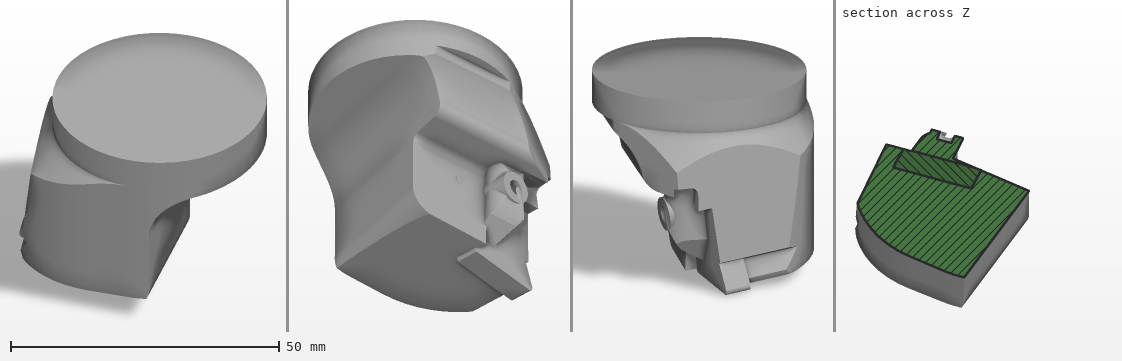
import cadquery as cq
import math

FLANGE_R = 40.0 / 2
FLANGE_H = 6.15
DEPTH = 42.2
REACH = 32.8
BACK_SHIFT = 7.25
TANGENT_ANGLE = 119.5

NECK_X = 4.25
RIM_Z = -8.3
COVE_X = 12.8
COVE_TOP_Z = -8.85
COVE_BOTTOM_Z = -17.7
HEEL_Z = -29.3
HEEL_X = 0.0
HEEL_BOTTOM_Z = -34.8

FACE_CORNER = (-24.4, 9.0, -12.65)
FACE_NORMAL = (-1.0, -0.163, 0.126)

WALL_Y = 5.1
POCKET_TOP_Z = -17.15
POCKET_FILLET = 1.4
SCOOP_Y = 11.8
LIP_MID = (13.25, -16.5)
LIP_END = (13.95, -14.75)
SCOOP_MID = (15.55, -10.87)
SCOOP_END = (18.05, -8.2)
MOUTH_TOP_Z = -15.33
MOUTH_INNER_X = -17.8
MOUTH_WIDTH = 4.45

TIP = (-27.35, 0.1, -36.0)
TOOL_X = (1.0, 0.174, 0.02)
TOOL_NORMAL = (0.17, -0.977, 0.108)

EDGE = 15.45
CORNER_ANGLE = 62.0
NOSE_R = 0.8
THICKNESS = 4.87

OVERHANG = 0.75
RELIEF_TOP = 5.3
ROOF_SLOPE = 0.55
SEAT_CHAMFER = 1.2
RAKE_POCKET_TOP = 16.55

CLAMP_X = (-19.7, -12.2)
CLAMP_Y = 1.87
CLAMP_HEEL = (7.05, -29.2)
CLAMP_CREST = (9.95, -22.5)
CLAMP_ROOT_Y = 8.9
CLAMP_TOE_Z = -32.57
CLAMP_BEVEL_Z = -26.95
CLAMP_SHOULDER_Y = 6.37
BOSS_D = 6.4
BOSS_TIP = (-15.95, 9.95, -22.75)
BOSS_H = 5.62
SOCKET_D = 3.05
SOCKET_DEPTH = 1.87

tool_plane = cq.Plane(origin=TIP, xDir=TOOL_X, normal=TOOL_NORMAL)
slant = math.radians(CORNER_ANGLE)


def blank():
    """Flange, and below it the wider head under a 45 degree cone."""
    angle = math.radians(TANGENT_ANGLE)
    tangent = (FLANGE_R * math.cos(angle), FLANGE_R * math.sin(angle))
    left_x = -BACK_SHIFT - FLANGE_R
    left_y = tangent[1] + (left_x - tangent[0]) * -math.cos(angle) / math.sin(angle)
    mid = FLANGE_R * math.sqrt(0.5)
    head = (
        cq.Workplane("XY", origin=(0, 0, -DEPTH))
        .moveTo(0, -FLANGE_R)
        .lineTo(-BACK_SHIFT, -FLANGE_R)
        .threePointArc((-BACK_SHIFT - mid, -mid), (left_x, 0))
        .lineTo(left_x, left_y)
        .lineTo(*tangent)
        .threePointArc((FLANGE_R, 0), (0, -FLANGE_R))
        .close()
        .extrude(DEPTH)
    )
    cone_end_z = -FLANGE_H - (REACH - FLANGE_R)
    envelope = (
        cq.Workplane("XZ")
        .polyline([(0, 0), (FLANGE_R, 0), (FLANGE_R, -FLANGE_H), (REACH, cone_end_z),
                   (REACH, -DEPTH), (0, -DEPTH)])
        .close()
        .revolve(360, (0, 0, 0), (0, 1, 0))
    )
    return head.intersect(envelope)


def side_profile():
    """Outline along Y that hollows the +X side and rounds the heel."""
    mid = math.sqrt(0.5)
    cove_mid = (COVE_X - (COVE_X - NECK_X) * mid,
                COVE_BOTTOM_Z + (COVE_TOP_Z - COVE_BOTTOM_Z) * mid)
    heel_mid = (HEEL_X + (NECK_X - HEEL_X) * mid,
                HEEL_Z + (HEEL_BOTTOM_Z - HEEL_Z) * mid)
    return (
        cq.Workplane("XZ", origin=(0, REACH, 0))
        .moveTo(-REACH, 0)
        .lineTo(FLANGE_R, 0)
        .lineTo(FLANGE_R, RIM_Z)
        .lineTo(COVE_X, COVE_TOP_Z)
        .threePointArc(cove_mid, (NECK_X, COVE_BOTTOM_Z))
        .lineTo(NECK_X, HEEL_Z)
        .threePointArc(heel_mid, (HEEL_X, HEEL_BOTTOM_Z))
        .lineTo(HEEL_X, -DEPTH)
        .lineTo(-REACH, -DEPTH)
        .close()
        .extrude(2 * REACH)
    )


def face_cut():
    """Everything outside the leaning -X face, below the flange."""
    plane = cq.Plane(origin=FACE_CORNER, xDir=(0, 0, 1), normal=FACE_NORMAL)
    return cq.Workplane(plane).rect(4 * REACH, 4 * REACH).extrude(REACH)


def chip_pocket():
    """Open space over the rake face, with a scooped run-out under the flange."""
    fillet_mid = POCKET_FILLET * (1 - math.sqrt(0.5))
    main = (
        cq.Workplane("YZ", origin=(-REACH, 0, 0))
        .moveTo(WALL_Y, -DEPTH)
        .lineTo(WALL_Y, POCKET_TOP_Z - POCKET_FILLET)
        .threePointArc((WALL_Y + fillet_mid, POCKET_TOP_Z - fillet_mid),
                       (WALL_Y + POCKET_FILLET, POCKET_TOP_Z))
        .lineTo(SCOOP_Y, POCKET_TOP_Z)
        .threePointArc(LIP_MID, LIP_END)
        .threePointArc(SCOOP_MID, SCOOP_END)
        .lineTo(SCOOP_END[0], -FLANGE_H)
        .lineTo(REACH, -FLANGE_H)
        .lineTo(REACH, -DEPTH)
        .close()
        .extrude(2 * REACH)
    )
    mouth = (
        cq.Workplane("XZ", origin=(0, WALL_Y + MOUTH_WIDTH, 0))
        .polyline([(FACE_CORNER[0], MOUTH_TOP_Z), (MOUTH_INNER_X, POCKET_TOP_Z),
                   (MOUTH_INNER_X, -DEPTH), (-REACH, -DEPTH), (-REACH, MOUTH_TOP_Z)])
        .close()
        .extrude(MOUTH_WIDTH)
        .edges("<Y and >Z")
        .fillet(POCKET_FILLET)
    )
    return main.union(mouth)


def bottom_cut():
    """Everything below the sloping underside."""
    return (
        cq.Workplane(tool_plane)
        .center(0, OVERHANG - REACH / 2)
        .rect(4 * REACH, REACH)
        .extrude(REACH, both=True)
    )


def rake_pocket():
    """Space in front of the rake face that lets the insert in."""
    return (
        cq.Workplane(tool_plane)
        .moveTo(EDGE, -EDGE)
        .lineTo(EDGE, RAKE_POCKET_TOP)
        .lineTo(-EDGE, RAKE_POCKET_TOP)
        .lineTo(-EDGE, -EDGE)
        .close()
        .extrude(-EDGE)
    )


def flank_relief():
    """Undercut of the -X face, set back behind the insert's side edge."""
    setback = OVERHANG / math.sin(slant)
    roof_x = setback + RELIEF_TOP / math.tan(slant)
    chamfer_top = OVERHANG + SEAT_CHAMFER
    seat_foot = setback + OVERHANG / math.tan(slant) + SEAT_CHAMFER
    return (
        cq.Workplane(tool_plane)
        .polyline([(roof_x - EDGE, RELIEF_TOP + EDGE * ROOF_SLOPE),
                   (roof_x, RELIEF_TOP),
                   (setback + chamfer_top / math.tan(slant), chamfer_top),
                   (seat_foot, OVERHANG),
                   (roof_x - EDGE, OVERHANG)])
        .close()
        .extrude(REACH)
    )


def make_insert():
    """Rhombic cutting insert with a rounded cutting corner."""
    rise = (EDGE * math.cos(slant), EDGE * math.sin(slant))
    outline = [(0, 0), (EDGE, 0), (EDGE + rise[0], rise[1]), rise]
    nose_axis = cq.selectors.NearestToPointSelector(
        tool_plane.toWorldCoords((0, 0, THICKNESS / 2)).toTuple())
    return (
        cq.Workplane(tool_plane)
        .polyline(outline)
        .close()
        .extrude(THICKNESS)
        .edges(nose_axis)
        .fillet(NOSE_R)
    )


def clamp():
    """Rounded clamp nose reaching down over the insert, with a screw boss."""
    nose = (
        cq.Workplane("YZ", origin=(CLAMP_X[0], 0, 0))
        .moveTo(CLAMP_Y, POCKET_TOP_Z)
        .lineTo(CLAMP_ROOT_Y, POCKET_TOP_Z)
        .threePointArc(CLAMP_CREST, CLAMP_HEEL)
        .lineTo(CLAMP_Y, CLAMP_TOE_Z)
        .close()
        .extrude(CLAMP_X[1] - CLAMP_X[0])
    )
    middle_x = sum(CLAMP_X) / 2
    rounding = (
        cq.Workplane("XY")
        .moveTo(CLAMP_X[0], 0)
        .lineTo(CLAMP_X[0], CLAMP_SHOULDER_Y)
        .threePointArc((middle_x, CLAMP_CREST[0]), (CLAMP_X[1], CLAMP_SHOULDER_Y))
        .lineTo(CLAMP_X[1], 0)
        .close()
        .extrude(-DEPTH)
    )
    bevel = (
        cq.Workplane("XZ", origin=(0, REACH, 0))
        .polyline([(CLAMP_X[0], CLAMP_BEVEL_Z), (middle_x, CLAMP_TOE_Z), (CLAMP_X[0], CLAMP_TOE_Z)])
        .close()
        .extrude(2 * REACH)
    )
    nose = nose.intersect(rounding).cut(bevel)
    plane = cq.Plane(origin=BOSS_TIP, xDir=TOOL_X, normal=TOOL_NORMAL)
    boss = cq.Workplane(plane).circle(BOSS_D / 2).extrude(BOSS_H)
    socket = cq.Workplane(plane).circle(SOCKET_D / 2).extrude(SOCKET_DEPTH)
    behind_rake = cq.Workplane(tool_plane).rect(4 * REACH, 4 * REACH).extrude(THICKNESS)
    return nose.union(boss).cut(socket).cut(behind_rake)


def make_holder(insert):
    """Holder with its chip pocket, clamp and a seat matching the insert."""
    flange = cq.Workplane("XY").circle(FLANGE_R).extrude(-FLANGE_H)
    body = blank().intersect(side_profile()).cut(face_cut()).union(flange)
    body = body.cut(chip_pocket()).cut(bottom_cut())
    body = body.cut(rake_pocket()).cut(flank_relief())
    return body.union(clamp()).cut(insert)


insert = make_insert()
holder = make_holder(insert)

result = cq.Compound.makeCompound([holder.val(), insert.val()])